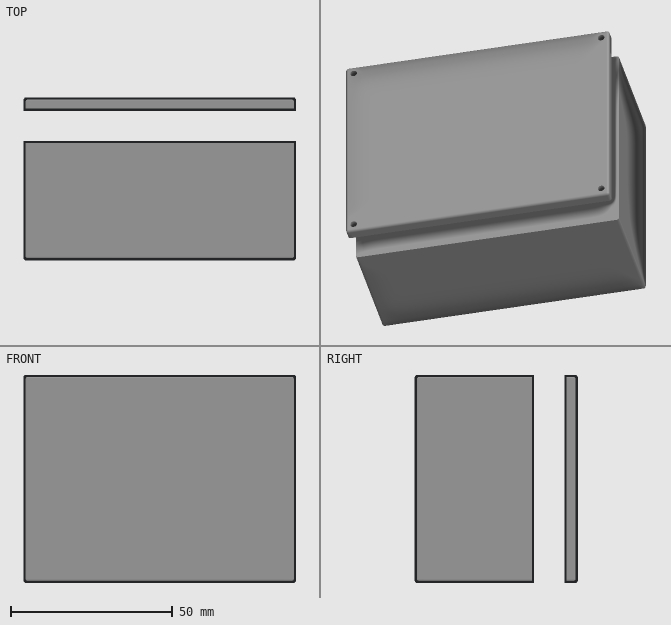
import cadquery as cq

LENGTH = 84.0
DEPTH = 50.0
HEIGHT = 64.0

LID_THICKNESS = 3.5
LID_GAP = 10.0
HOUSING_DEPTH = DEPTH - LID_GAP - LID_THICKNESS
EDGE_RADIUS = 0.8

SCREW_HOLE_DIAMETER = 2.1
SCREW_HOLE_INSET = 2.5

FRONT_Y = -DEPTH / 2
BACK_Y = DEPTH / 2


def rounded_block(start_y, depth, outer_face):
    """Block running from start_y toward +Y, with its four Y edges and its outer face rounded."""
    block = cq.Workplane("XY").box(LENGTH, depth, HEIGHT, centered=(True, False, True))
    block = block.translate((0, start_y, 0))
    outer_edges = block.edges("|Y").add(block.faces(outer_face).edges())
    return outer_edges.fillet(EDGE_RADIUS)


def make_housing():
    return rounded_block(FRONT_Y, HOUSING_DEPTH, "<Y")


def make_lid():
    lid = rounded_block(BACK_Y - LID_THICKNESS, LID_THICKNESS, ">Y")
    screw_holes = (
        cq.Workplane("XZ", origin=(0, BACK_Y, 0))
        .rect(LENGTH - 2 * SCREW_HOLE_INSET, HEIGHT - 2 * SCREW_HOLE_INSET, forConstruction=True)
        .vertices()
        .circle(SCREW_HOLE_DIAMETER / 2)
        .extrude(LID_THICKNESS)
    )
    return lid.cut(screw_holes)


housing = make_housing()
lid = make_lid()

result = cq.Compound.makeCompound([housing.val(), lid.val()])